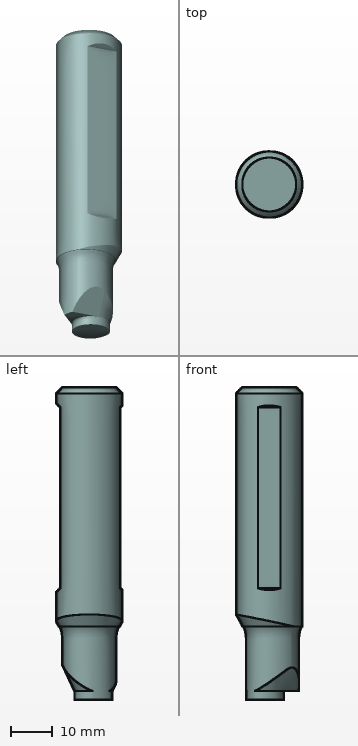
import math

import cadquery as cq

LENGTH = 74.7
SHANK_RADIUS = 15.88 / 2
TOP_CHAMFER = 1.5

FRONT_FLAT_DISTANCE = 7.46
BACK_FLAT_DISTANCE = 6.95
FLAT_BOTTOM = 26.7
FLAT_TOP = 69.85

NECK_RADIUS = 6.5
NECK_OFFSET = 0.9
TRIM_RADIUS = 7.15
NECK_TOP = 14.85
SHOULDER_HEIGHT = 17.55

RUNOUT_RADIUS = 7.3
RUNOUT_TOP = 20.4

FILLET_RADIUS = 6.35

SPIGOT_RADIUS = 4.55
SPIGOT_CENTRE = (-1.0, -1.0)
SPIGOT_LENGTH = 2.1
FLARE_ANGLE = 25.0
FLARE_HEIGHT = 9.0
TOOTH_START_ANGLE = -43.0
TOOTH_END_ANGLE = 90.0

FILLET_HEIGHT = SHOULDER_HEIGHT - NECK_TOP


def fillet_growth(height):
    """Radial growth of the neck fillet at a height above its tangent point."""
    return FILLET_RADIUS - math.sqrt(FILLET_RADIUS**2 - height**2)


def filleted_neck(radius):
    """Half profile of a neck with its fillet, left open at the shoulder."""
    middle = FILLET_HEIGHT / 2
    return (
        cq.Workplane("XZ")
        .lineTo(radius, 0)
        .lineTo(radius, NECK_TOP)
        .threePointArc(
            (radius + fillet_growth(middle), NECK_TOP + middle),
            (radius + fillet_growth(FILLET_HEIGHT), SHOULDER_HEIGHT),
        )
    )


def revolve_about_z(profile):
    return profile.close().revolve(360, (0, 0, 0), (0, 1, 0))


def shank_envelope():
    """Shank, shoulder and trimmed side of the neck, all centred on the Z axis."""
    return revolve_about_z(
        filleted_neck(TRIM_RADIUS)
        .lineTo(SHANK_RADIUS, SHOULDER_HEIGHT)
        .lineTo(SHANK_RADIUS, LENGTH - TOP_CHAMFER)
        .lineTo(SHANK_RADIUS - TOP_CHAMFER, LENGTH)
        .lineTo(0, LENGTH)
    )


def eccentric_envelope():
    """Eccentric neck whose run-out cone just leaves the shank at RUNOUT_TOP."""
    outer_radius = SHANK_RADIUS + NECK_OFFSET
    growth_rate = (outer_radius - RUNOUT_RADIUS) / (RUNOUT_TOP - SHOULDER_HEIGHT)
    clearance = 1.0
    top_radius = outer_radius + clearance
    envelope = revolve_about_z(
        filleted_neck(NECK_RADIUS)
        .lineTo(RUNOUT_RADIUS, SHOULDER_HEIGHT)
        .lineTo(top_radius, RUNOUT_TOP + clearance / growth_rate)
        .lineTo(top_radius, LENGTH)
        .lineTo(0, LENGTH)
    )
    return envelope.translate((NECK_OFFSET, 0, 0))


def on_spigot_circle(angle, radius=SPIGOT_RADIUS):
    centre_x, centre_y = SPIGOT_CENTRE
    turn = math.radians(angle)
    return (centre_x + radius * math.cos(turn), centre_y + radius * math.sin(turn))


def tip_envelope():
    """Spigot, flare with a tooth whose flanks are tangent to it, and the rest of the tool."""
    middle_angle = (TOOTH_START_ANGLE + TOOTH_END_ANGLE) / 2
    half_span = math.radians(TOOTH_END_ANGLE - TOOTH_START_ANGLE) / 2
    tooth_point = on_spigot_circle(middle_angle, SPIGOT_RADIUS / math.cos(half_span))

    spigot = cq.Workplane("XY").center(*SPIGOT_CENTRE).circle(SPIGOT_RADIUS).extrude(SPIGOT_LENGTH)
    flare = (
        cq.Workplane("XY", origin=(0, 0, SPIGOT_LENGTH))
        .moveTo(*on_spigot_circle(TOOTH_END_ANGLE))
        .threePointArc(on_spigot_circle(middle_angle + 180), on_spigot_circle(TOOTH_START_ANGLE))
        .lineTo(*tooth_point)
        .close()
        .extrude(FLARE_HEIGHT, taper=-FLARE_ANGLE)
    )
    flare_top = SPIGOT_LENGTH + FLARE_HEIGHT
    upper = (
        cq.Workplane("XY", origin=(0, 0, flare_top))
        .circle(2 * SHANK_RADIUS)
        .extrude(LENGTH - flare_top)
    )
    return spigot.union(flare).union(upper)


def flat_cutter(distance, side):
    """Cutter for one flat with 45 degree ends; side is -1 for -Y and +1 for +Y."""
    depth = SHANK_RADIUS - distance
    return (
        cq.Workplane("YZ")
        .moveTo(side * distance, FLAT_BOTTOM)
        .lineTo(side * SHANK_RADIUS, FLAT_BOTTOM - depth)
        .lineTo(side * SHANK_RADIUS, FLAT_TOP + depth)
        .lineTo(side * distance, FLAT_TOP)
        .close()
        .extrude(SHANK_RADIUS, both=True)
    )


result = shank_envelope().intersect(eccentric_envelope()).intersect(tip_envelope())
for flat_distance, flat_side in ((FRONT_FLAT_DISTANCE, -1), (BACK_FLAT_DISTANCE, 1)):
    result = result.cut(flat_cutter(flat_distance, flat_side))